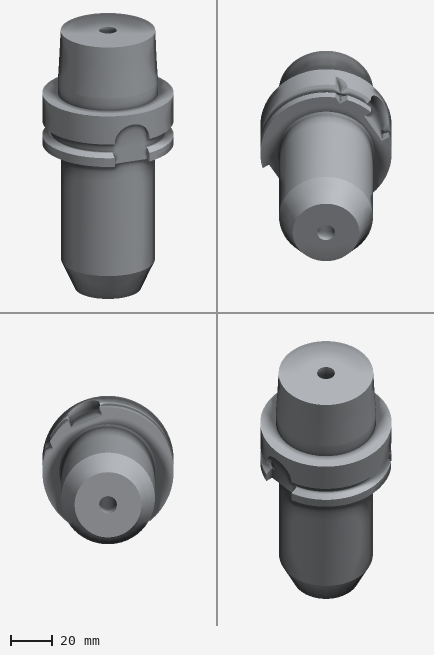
import cadquery as cq
import math


shank_height = 32.0
shank_base_radius = 24.0
shank_base_height = 6.3
shank_top_radius = 22.7

flange_radius = 31.5
flange_height = 26.0
groove_center_depth = 18.0
groove_width = 3.75
groove_radius = 27.5
groove_lip_radius = 28.6
groove_lip_angle = 30.0

body_radius = 22.5
body_length = 100.0
collar_radius = 23.3
collar_height = 1.2
nose_radius = 16.0
nose_height = 14.3

bore_diameter = 8.5

keyway_radius = 8.15
wide_keyway_radius = 9.0
keyway_top_depth = 5.1
keyway_floor = 26.5

notch_floor = 20.3
notch_wall = 20.0


def turned_blank():
    """Revolve the half outline of the holder about Z."""
    lip_height = (flange_radius - groove_lip_radius) * math.tan(math.radians(groove_lip_angle))
    groove_top = -groove_center_depth + groove_width / 2
    groove_bottom = -groove_center_depth - groove_width / 2
    outline = [
        (0, shank_height),
        (shank_top_radius, shank_height),
        (shank_base_radius, shank_base_height),
        (shank_base_radius, 0),
        (flange_radius, 0),
        (flange_radius, groove_top + lip_height),
        (groove_lip_radius, groove_top),
        (groove_radius, groove_top),
        (groove_radius, groove_bottom),
        (groove_lip_radius, groove_bottom),
        (flange_radius, groove_bottom - lip_height),
        (flange_radius, -flange_height),
        (collar_radius, -flange_height),
        (body_radius, -flange_height - collar_height),
        (body_radius, nose_height - body_length),
        (nose_radius, -body_length),
        (0, -body_length),
    ]
    return cq.Workplane("YZ").polyline(outline).close().revolve(360, (0, 0), (0, 1))


def round_ended_cutter(center_y, end_radius, floor_x):
    """Slot running down through the flange on the -X side, floor at x = -floor_x."""
    center_z = -keyway_top_depth - end_radius
    return (
        cq.Workplane("YZ", origin=(-floor_x, 0, 0))
        .moveTo(center_y - end_radius, -flange_height)
        .lineTo(center_y - end_radius, center_z)
        .threePointArc((center_y, -keyway_top_depth), (center_y + end_radius, center_z))
        .lineTo(center_y + end_radius, -flange_height)
        .close()
        .extrude(-flange_radius)
    )


def bore_cutter():
    return (
        cq.Workplane("XY", origin=(0, 0, -body_length))
        .circle(bore_diameter / 2)
        .extrude(body_length + shank_height)
    )


narrow_keyway = round_ended_cutter(0, keyway_radius, keyway_floor)
wide_keyway = round_ended_cutter(0, wide_keyway_radius, keyway_floor).rotate((0, 0, 0), (0, 0, 1), 180)
notch = round_ended_cutter(notch_wall + keyway_radius, keyway_radius, notch_floor)

result = turned_blank()
for cutter in (bore_cutter(), narrow_keyway, wide_keyway, notch):
    result = result.cut(cutter)